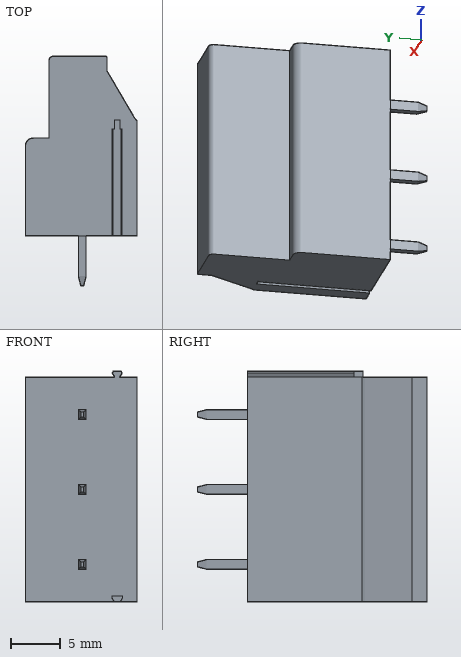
import cadquery as cq


POLES = 3
PITCH = 7.5
HOUSING_WIDTH = 11.2
HOUSING_HEIGHT = 18.0
HOUSING_LENGTH = POLES * PITCH
SHOULDER_X = 2.35
SHOULDER_Y = 9.8
SHOULDER_RADIUS = 0.8
CREST_X = 8.2
CREST_RADIUS = 0.5
CREST_FAR_RADIUS = 0.2
SLOPE_TOP_Y = 16.5
SLOPE_FOOT_X = 10.95
SLOPE_FOOT_Y = 11.8
SIDE_TOP_Y = 11.5

PIN_X = 5.7
PIN_WIDTH = 0.8
PIN_DEPTH = 1.0
PIN_LENGTH = 5.0
PIN_TIP_LENGTH = 0.95
PIN_TIP_INSET = 0.25

DOVETAIL_X = 9.2
DOVETAIL_HEIGHT = 0.6
DOVETAIL_LIP = 0.2
DOVETAIL_LENGTH = 10.7
KEY_LENGTH = 11.6
RAIL_NECK = 0.55
RAIL_WIDTH = 1.0
RAIL_TOP_WIDTH = 0.8
GROOVE_NECK = 0.6
GROOVE_WIDTH = 1.05


def make_housing():
    profile = (
        cq.Workplane("XY")
        .moveTo(0, 0)
        .lineTo(HOUSING_WIDTH, 0)
        .lineTo(HOUSING_WIDTH, SIDE_TOP_Y)
        .lineTo(SLOPE_FOOT_X, SLOPE_FOOT_Y)
        .lineTo(CREST_X, SLOPE_TOP_Y)
        .lineTo(CREST_X, HOUSING_HEIGHT)
        .lineTo(SHOULDER_X, HOUSING_HEIGHT)
        .lineTo(SHOULDER_X, SHOULDER_Y)
        .lineTo(0, SHOULDER_Y)
        .close()
    )
    housing = profile.extrude(HOUSING_LENGTH)
    rounded_corners = (
        (0, SHOULDER_Y, SHOULDER_RADIUS),
        (SHOULDER_X, HOUSING_HEIGHT, CREST_RADIUS),
        (CREST_X, HOUSING_HEIGHT, CREST_FAR_RADIUS),
    )
    for x, y, radius in rounded_corners:
        corner = cq.selectors.NearestToPointSelector((x, y, HOUSING_LENGTH / 2))
        housing = housing.edges("|Z").edges(corner).fillet(radius)
    return housing


def make_dovetail(base_z, length, neck, width, top_width):
    """Bar along Y whose section flares upward from the neck at base_z, then runs through the lip to the top."""
    top_z = base_z + DOVETAIL_HEIGHT
    lip_z = top_z - DOVETAIL_LIP
    section = (
        cq.Workplane("XZ")
        .moveTo(DOVETAIL_X - neck / 2, base_z)
        .lineTo(DOVETAIL_X + neck / 2, base_z)
        .lineTo(DOVETAIL_X + width / 2, lip_z)
        .lineTo(DOVETAIL_X + top_width / 2, top_z)
        .lineTo(DOVETAIL_X - top_width / 2, top_z)
        .lineTo(DOVETAIL_X - width / 2, lip_z)
        .close()
    )
    return section.extrude(-length)


def make_rail():
    """Dovetail rail that ends in a straight key as wide as its neck."""
    dovetail = make_dovetail(HOUSING_LENGTH, DOVETAIL_LENGTH, RAIL_NECK, RAIL_WIDTH, RAIL_TOP_WIDTH)
    key = cq.Workplane("XY").box(RAIL_NECK, KEY_LENGTH, DOVETAIL_HEIGHT, centered=(True, False, False))
    return dovetail.union(key.translate((DOVETAIL_X, 0, HOUSING_LENGTH)))


def make_groove():
    """Groove long enough to take the rail and its key."""
    return make_dovetail(0, KEY_LENGTH, GROOVE_NECK, GROOVE_WIDTH, GROOVE_WIDTH)


def make_pin(center_z):
    """Rectangular pin pointing along -Y with a four-sided tapered tip."""
    shank_length = PIN_LENGTH - PIN_TIP_LENGTH
    start = cq.Workplane("XZ", origin=(PIN_X, 0, center_z))
    shank = start.rect(PIN_WIDTH, PIN_DEPTH).extrude(shank_length)
    tip = (
        start.workplane(offset=shank_length)
        .rect(PIN_WIDTH, PIN_DEPTH)
        .workplane(offset=PIN_TIP_LENGTH)
        .rect(PIN_WIDTH - 2 * PIN_TIP_INSET, PIN_DEPTH - 2 * PIN_TIP_INSET)
        .loft(ruled=True)
    )
    return shank.union(tip)


result = make_housing().union(make_rail()).cut(make_groove())
for pole in range(POLES):
    result = result.union(make_pin((pole + 0.5) * PITCH))